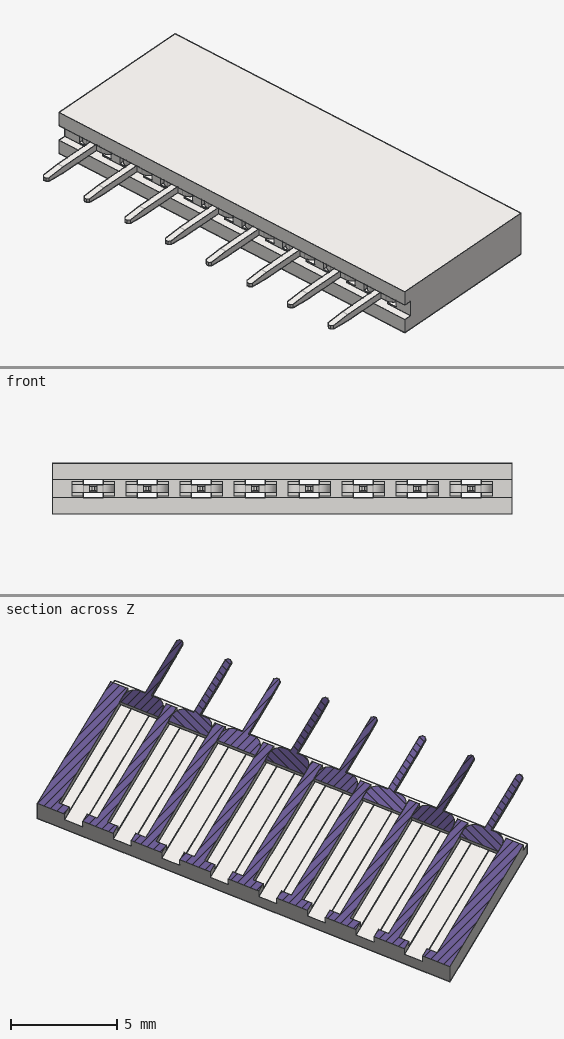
import cadquery as cq

HOUSING_LENGTH = 21.6
HOUSING_DEPTH = 8.3
HOUSING_HEIGHT = 2.4
GROOVE_HEIGHT = 0.85
GROOVE_DEPTH = 0.4
FAR_WALL = 0.5
POCKET_HEIGHT = 0.7
WINDOW_WIDTH = 0.93

CONTACT_COUNT = 8
ROW_SPAN = 17.78
PITCH = ROW_SPAN / (CONTACT_COUNT - 1)

SHOULDER_WIDTH = 1.99
CORNER_RADIUS = (SHOULDER_WIDTH - WINDOW_WIDTH) / 2
SHOULDER_DEPTH = 1.0
SHOULDER_PROTRUSION = 0.1
CONTACT_THICKNESS = 0.37
PIN_WIDTH = 0.35
PIN_REACH = 3.2
TAPER_LENGTH = 1.12
TIP_THICKNESS = 0.2
TIP_CHAMFER = 0.1

GROOVE_FLOOR_Y = GROOVE_DEPTH
POCKET_END_Y = HOUSING_DEPTH - FAR_WALL
SHOULDER_FRONT_Y = GROOVE_FLOOR_Y - SHOULDER_PROTRUSION
TIP_Y = -PIN_REACH

CONTACT_XS = [i * PITCH - ROW_SPAN / 2 for i in range(CONTACT_COUNT)]


def box_between(width, y_start, y_end, height, x=0.0):
    """Box centred on the given X and on Z = 0, spanning y_start to y_end."""
    return cq.Workplane("XY").box(width, y_end - y_start, height).translate((x, (y_start + y_end) / 2, 0))


def make_housing():
    """Block with a lengthwise groove, and a wide pocket crossed by a taller through window per contact."""
    housing = box_between(HOUSING_LENGTH, 0, HOUSING_DEPTH, HOUSING_HEIGHT)
    housing = housing.cut(box_between(HOUSING_LENGTH, 0, GROOVE_FLOOR_Y, GROOVE_HEIGHT))
    for x in CONTACT_XS:
        pocket = box_between(SHOULDER_WIDTH, GROOVE_FLOOR_Y, POCKET_END_Y, POCKET_HEIGHT, x)
        window = box_between(WINDOW_WIDTH, GROOVE_FLOOR_Y, HOUSING_DEPTH, GROOVE_HEIGHT, x)
        housing = housing.cut(pocket).cut(window)
    return housing


def make_shoulder():
    """Flat plate held between the pocket sides, its two pin-side corners rounded."""
    plate = box_between(
        SHOULDER_WIDTH, SHOULDER_FRONT_Y, SHOULDER_FRONT_Y + SHOULDER_DEPTH, CONTACT_THICKNESS
    )
    return plate.edges("|Z and <Y").fillet(CORNER_RADIUS)


def make_pin():
    """Straight pin that thins toward its tip, with the sides of the tip chamfered."""
    half_thickness = CONTACT_THICKNESS / 2
    half_tip = TIP_THICKNESS / 2
    taper_start_y = TIP_Y + TAPER_LENGTH
    side_profile = [
        (SHOULDER_FRONT_Y, half_thickness),
        (taper_start_y, half_thickness),
        (TIP_Y, half_tip),
        (TIP_Y, -half_tip),
        (taper_start_y, -half_thickness),
        (SHOULDER_FRONT_Y, -half_thickness),
    ]
    pin = cq.Workplane("YZ").polyline(side_profile).close().extrude(PIN_WIDTH / 2, both=True)
    tip_sides = pin.faces("<Y").edges("<X or >X")
    return tip_sides.chamfer(TIP_CHAMFER)


def make_contact(x):
    """One contact, shoulder and pin in a single solid."""
    return make_shoulder().union(make_pin()).translate((x, 0, 0))


housing = make_housing()
contacts = [make_contact(x) for x in CONTACT_XS]

result = cq.Compound.makeCompound([housing.val(), *[contact.val() for contact in contacts]])